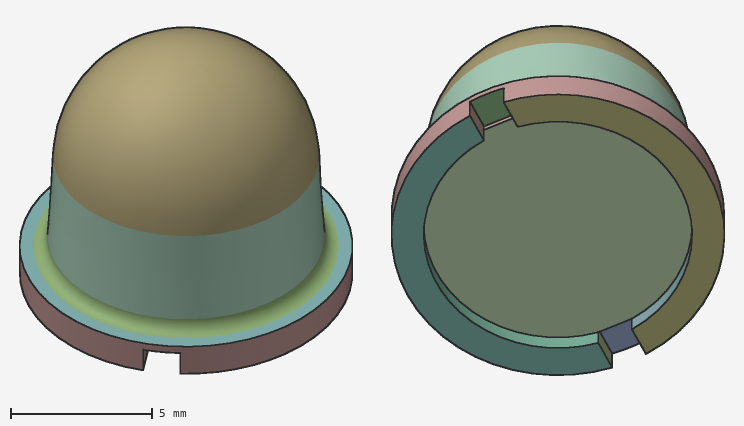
import cadquery as cq
import math

total_height = 9.74
flange_radius = 5.9
flange_height = 1.22

dome_radius = 4.73
draft_angle = math.radians(3)
root_fillet = 0.5

recess_radius = 4.75
recess_depth = 0.7

notch_width = 1.32
notch_height = 0.92
notch_floor_radius = 4.71
notch_angles = (-45, 135)

dome_center_z = total_height - dome_radius
shoulder_radius = dome_radius * math.cos(draft_angle)
shoulder_z = dome_center_z + dome_radius * math.sin(draft_angle)
wall_base_radius = shoulder_radius + (shoulder_z - flange_height) * math.tan(draft_angle)


def make_body():
    """Revolve the flange, drafted wall and spherical dome about Z."""
    arc_angle = (math.pi / 2 + draft_angle) / 2
    arc_middle = (
        dome_radius * math.cos(arc_angle),
        dome_center_z + dome_radius * math.sin(arc_angle),
    )
    profile = (
        cq.Workplane("XZ")
        .lineTo(flange_radius, 0)
        .lineTo(flange_radius, flange_height)
        .lineTo(wall_base_radius, flange_height)
        .lineTo(shoulder_radius, shoulder_z)
        .threePointArc(arc_middle, (0, total_height))
        .close()
    )
    body = profile.revolve(360, (0, 0), (0, 1))
    root_edge = cq.selectors.RadiusNthSelector(-2)
    return body.edges("%CIRCLE").edges(root_edge).fillet(root_fillet)


def make_notch(angle):
    """Block that opens the flange rim at the given angle about Z."""
    length = 2 * (flange_radius - notch_floor_radius)
    return (
        cq.Workplane("XY")
        .center(notch_floor_radius + length / 2, 0)
        .rect(length, notch_width)
        .extrude(notch_height)
        .rotate((0, 0, 0), (0, 0, 1), angle)
    )


result = make_body()
result = result.cut(cq.Workplane("XY").circle(recess_radius).extrude(recess_depth))
for notch_angle in notch_angles:
    result = result.cut(make_notch(notch_angle))